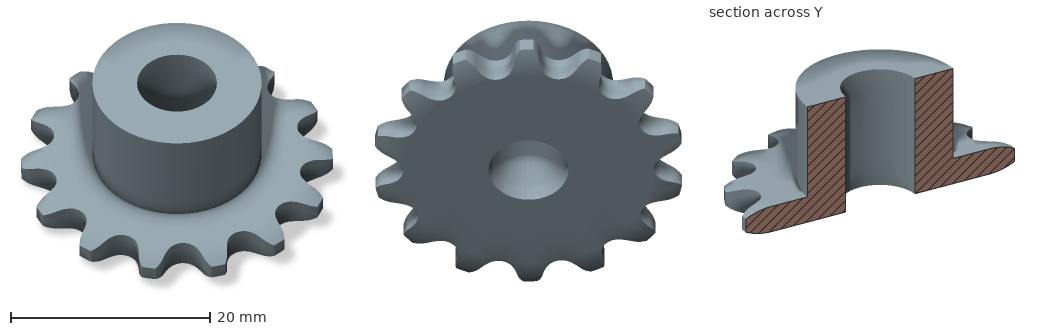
import cadquery as cq
import math


tooth_count = 14
chain_pitch = 6.35
roller_diameter = 3.3
seat_clearance = 0.038
tip_radius = 15.65
wheel_thickness = 2.88
tip_thickness = 1.5
flat_face_radius = 12.7
hub_diameter = 17.0
bore_diameter = 8.0
total_height = 13.0

flank_centre_ratio = 0.8
crown_centre_ratio = 1.4
flank_ratio = 1.3025
seat_angle = 35 + 60 / tooth_count
flank_angle = 18 - 56 / tooth_count
half_tooth_angle = 180 / tooth_count

pitch_radius = chain_pitch / 2 / math.sin(math.radians(half_tooth_angle))
flank_radius = flank_ratio * roller_diameter + seat_clearance
seat_radius = flank_radius - flank_centre_ratio * roller_diameter
cutter_reach = tip_radius + roller_diameter


def polar(centre, radius, degrees):
    """Point at a distance and direction from a centre."""
    angle = math.radians(degrees)
    return centre[0] + radius * math.cos(angle), centre[1] + radius * math.sin(angle)


def wheel_blank():
    """Disc whose two faces curve in towards the tips, on arcs tangent to the flat faces."""
    face_drop = (wheel_thickness - tip_thickness) / 2
    rim_width = tip_radius - flat_face_radius
    bulge_radius = (rim_width**2 + face_drop**2) / (2 * face_drop)
    section = (
        cq.Workplane("XZ")
        .lineTo(flat_face_radius, 0)
        .radiusArc((tip_radius, face_drop), -bulge_radius)
        .lineTo(tip_radius, wheel_thickness - face_drop)
        .radiusArc((flat_face_radius, wheel_thickness), -bulge_radius)
        .lineTo(0, wheel_thickness)
        .close()
    )
    return section.revolve(360, (0, 0), (0, 1))


def tooth_gap():
    """Cutter for one gap, centred on +X: roller seat, hollow flanks, straights, rounded crowns."""
    roller_centre = (pitch_radius, 0)
    seat_end_direction = 90 + seat_angle
    flank_end_direction = seat_end_direction - flank_angle
    flank_centre = polar(roller_centre, -flank_centre_ratio * roller_diameter, seat_end_direction)
    crown_centre = polar(roller_centre, crown_centre_ratio * roller_diameter, 90 + half_tooth_angle)

    normal_angle = math.radians(flank_end_direction)
    crown_offset = (
        (crown_centre[0] - flank_centre[0]) * math.cos(normal_angle)
        + (crown_centre[1] - flank_centre[1]) * math.sin(normal_angle)
    )
    crown_radius = crown_offset - flank_radius

    centre_distance = math.hypot(*crown_centre)
    centre_direction = math.degrees(math.atan2(crown_centre[1], crown_centre[0]))
    tip_offset = math.degrees(math.acos(
        (tip_radius**2 - centre_distance**2 - crown_radius**2) / (2 * centre_distance * crown_radius)
    ))
    crown_start_direction = flank_end_direction - 180
    crown_end_direction = centre_direction - tip_offset
    crown_mid_direction = (crown_start_direction + crown_end_direction) / 2

    seat_bottom = (pitch_radius - seat_radius, 0)
    seat_end = polar(roller_centre, seat_radius, seat_end_direction)
    flank_mid = polar(flank_centre, flank_radius, seat_end_direction - flank_angle / 2)
    flank_end = polar(flank_centre, flank_radius, flank_end_direction)
    crown_start = polar(crown_centre, crown_radius, crown_start_direction)
    crown_mid = polar(crown_centre, crown_radius, crown_mid_direction)
    crown_end = polar(crown_centre, crown_radius, crown_end_direction)
    outer_corner = (cutter_reach, crown_end[1])

    def mirrored(point):
        return point[0], -point[1]

    outline = (
        cq.Workplane("XY")
        .moveTo(*outer_corner)
        .lineTo(*crown_end)
        .threePointArc(crown_mid, crown_start)
        .lineTo(*flank_end)
        .threePointArc(flank_mid, seat_end)
        .threePointArc(seat_bottom, mirrored(seat_end))
        .threePointArc(mirrored(flank_mid), mirrored(flank_end))
        .lineTo(*mirrored(crown_start))
        .threePointArc(mirrored(crown_mid), mirrored(crown_end))
        .lineTo(*mirrored(outer_corner))
        .close()
    )
    return outline.extrude(wheel_thickness)


def toothed_wheel():
    """Blank with one gap cut between each pair of neighbouring teeth."""
    wheel = wheel_blank()
    gap = tooth_gap()
    for index in range(tooth_count):
        gap_direction = (2 * index + 1) * half_tooth_angle
        wheel = wheel.cut(gap.rotate((0, 0, 0), (0, 0, 1), gap_direction))
    return wheel


hub = cq.Workplane("XY").circle(hub_diameter / 2).extrude(total_height)
bore = cq.Workplane("XY").circle(bore_diameter / 2).extrude(total_height)

result = toothed_wheel().union(hub).cut(bore)